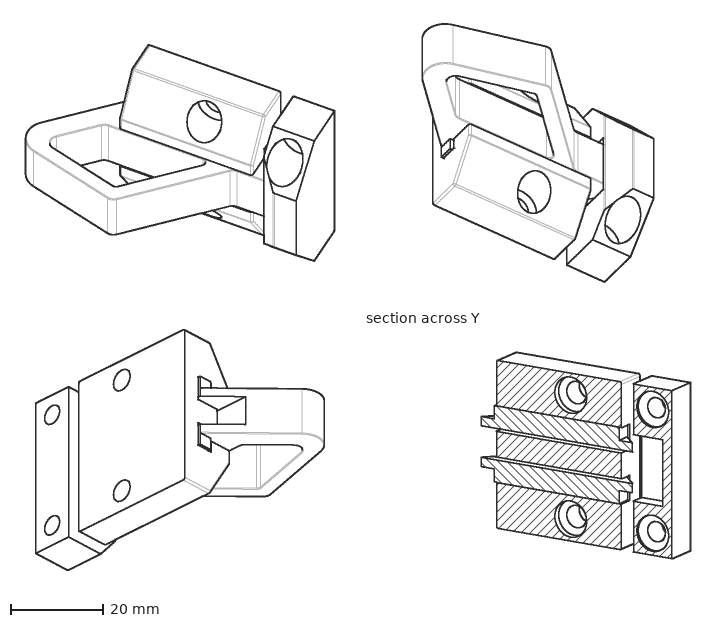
import cadquery as cq
import math


HEIGHT = 38.0
EDGE_RADIUS = 0.5
SCREW_OFFSET = 14.0
SCREW_HEAD_DIAMETER = 8.0
SCREW_CONE_SLOPE = 0.6
SCREW_HEAD_SEAT_KEEPER = 7.0
SCREW_HEAD_SEAT_HOUSING = 6.0

HOUSING_LEFT = 17.6
HOUSING_LENGTH = 32.1
HOUSING_DEPTH = 14.2
HOUSING_SIDE_DEPTH = 8.0
HOUSING_FRONT_HALF = 8.95
HOUSING_SCREW_DIAMETER = 5
HOUSING_SCREW_SHIFT = 3.0

SLOT_FLOOR = 4.15
SLOT_LIP = 8.15
SLOT_MOUTH_HALF = 5.9
WING_HALF = 8.6
WING_FRONT = 7.5
TONGUE_HALF = 2.95
TONGUE_DEPTH = 10.05
GROOVE_HALF = 3.5
GROOVE_DEPTH = 11.15

LATCH_HALF = 5.7
LATCH_OVERHANG = 0.55
LATCH_EDGE_RADIUS = 0.2
HANDLE_ANGLE = math.radians(15)
HANDLE_END_RADIUS = 5
HANDLE_CORNER_RADIUS = 2.0
FINGER_CORNER_RADIUS = 1.0
LEFT_ARM_WIDTH = 5
ARM_WIDTH = 3.5
HANDLE_SPAN = 38.1

KEEPER_LEFT = 52.7
KEEPER_LENGTH = 10.0
KEEPER_DEPTH = 19.05
KEEPER_SIDE_DEPTH = 10.05
KEEPER_FRONT_HALF = WING_HALF
KEEPER_CHAMFER = 4.45
KEEPER_SCREW_DIAMETER = 4.5
POCKET_HALF = 7.45
POCKET_END_GAP = 1.0


def box(left, right, back, front, half_height):
    """Block between two X values and two depths, symmetric about Z = 0."""
    return cq.Workplane("XY").box(
        right - left, front - back, 2 * half_height, centered=(False, False, True)
    ).translate((left, -front, 0))


def sloped_block(left, length, side_depth, depth, front_half):
    """Block with a flat back whose upper and lower flanks slope in to a narrower front."""
    half = HEIGHT / 2
    profile = [
        (0, -half), (-side_depth, -half), (-depth, -front_half),
        (-depth, front_half), (-side_depth, half), (0, half),
    ]
    return cq.Workplane("YZ").polyline(profile).close().extrude(length).translate((left, 0, 0))


def screw_cutter(x, z, diameter, head_seat, depth):
    """Through hole with a head recess that ends in a shallow cone."""
    hole = diameter / 2
    head = SCREW_HEAD_DIAMETER / 2
    cone_bottom = head_seat - SCREW_CONE_SLOPE * (head - hole)
    half_section = [
        (0, 0), (hole, 0), (hole, -cone_bottom),
        (head, -head_seat), (head, -depth), (0, -depth),
    ]
    cutter = cq.Workplane("XY").polyline(half_section).close().revolve(360, (0, 0), (0, 1))
    return cutter.translate((x, 0, z))


def cut_screw_holes(body, x, diameter, head_seat, depth):
    """Cut the upper and the lower screw hole."""
    for side in (-1, 1):
        body = body.cut(screw_cutter(x, side * SCREW_OFFSET, diameter, head_seat, depth))
    return body


def make_housing():
    right = HOUSING_LEFT + HOUSING_LENGTH
    body = sloped_block(
        HOUSING_LEFT, HOUSING_LENGTH, HOUSING_SIDE_DEPTH, HOUSING_DEPTH, HOUSING_FRONT_HALF
    )
    body = body.faces("not >Y").edges("not >Y").fillet(EDGE_RADIUS)
    body = body.cut(box(HOUSING_LEFT, right, SLOT_FLOOR, SLOT_LIP, WING_HALF))
    body = body.cut(box(HOUSING_LEFT, right, SLOT_FLOOR, HOUSING_DEPTH, SLOT_MOUTH_HALF))
    body = body.union(box(HOUSING_LEFT, right, SLOT_FLOOR, TONGUE_DEPTH, TONGUE_HALF))
    screw_x = HOUSING_LEFT + HOUSING_LENGTH / 2 + HOUSING_SCREW_SHIFT
    return cut_screw_holes(
        body, screw_x, HOUSING_SCREW_DIAMETER, SCREW_HEAD_SEAT_HOUSING, HOUSING_DEPTH
    )


LATCH_LEFT = HOUSING_LEFT - LATCH_OVERHANG
LATCH_RIGHT = LATCH_LEFT + HOUSING_LENGTH
LATCH_TIP = LATCH_RIGHT + HOUSING_DEPTH - SLOT_FLOOR
LEFT_FLANK = LATCH_LEFT + SLOT_FLOOR
RIGHT_FLANK = LEFT_FLANK + HANDLE_SPAN
END_DEPTH = LEFT_FLANK + HANDLE_END_RADIUS * (math.sqrt(2) - 1)
BAR_START = (
    END_DEPTH + HANDLE_END_RADIUS / math.cos(HANDLE_ANGLE) - HANDLE_END_RADIUS * math.tan(HANDLE_ANGLE)
)


def front_corner(flank):
    """Point where a 45 degree flank meets the front of the slide."""
    return (flank - HOUSING_DEPTH, -HOUSING_DEPTH)


def bar_corner(flank, bar_start):
    """Point where a 45 degree flank meets an edge of the outer bar."""
    x = (flank - bar_start) / (1 + math.tan(HANDLE_ANGLE))
    return (x, x - flank)


def prism(points):
    """Plate with the given outline and the thickness of the latch."""
    return cq.Workplane("XY").polyline(points).close().extrude(LATCH_HALF, both=True)


def round_corner(body, point, radius):
    """Round the upright edge of a plate that stands at the given point."""
    return body.edges(cq.selectors.NearestToPointSelector((*point, 0))).fillet(radius)


def make_finger_opening():
    left_flank = LEFT_FLANK + LEFT_ARM_WIDTH * math.sqrt(2)
    right_flank = RIGHT_FLANK - ARM_WIDTH * math.sqrt(2)
    bar_start = BAR_START - ARM_WIDTH / math.cos(HANDLE_ANGLE)
    corners = [
        front_corner(left_flank), bar_corner(left_flank, bar_start),
        bar_corner(right_flank, bar_start), front_corner(right_flank),
    ]
    radii = [
        HANDLE_CORNER_RADIUS, HANDLE_CORNER_RADIUS, FINGER_CORNER_RADIUS, FINGER_CORNER_RADIUS,
    ]
    opening = prism(corners)
    for corner, radius in zip(corners, radii):
        opening = round_corner(opening, corner, radius)
    return opening


def make_latch():
    handle_end = bar_corner(LEFT_FLANK, BAR_START)
    handle_corner = bar_corner(RIGHT_FLANK, BAR_START)
    arm_root = front_corner(RIGHT_FLANK)
    body = prism([
        (LATCH_LEFT, -SLOT_FLOOR), handle_end, handle_corner,
        arm_root, (LATCH_TIP, -HOUSING_DEPTH), (LATCH_RIGHT, -SLOT_FLOOR),
    ])
    body = round_corner(body, handle_end, HANDLE_END_RADIUS)
    body = round_corner(body, handle_corner, HANDLE_CORNER_RADIUS)
    body = round_corner(body, arm_root, HANDLE_CORNER_RADIUS)
    body = body.cut(make_finger_opening())
    body = body.faces("<Z or >Z").edges("not >Y").fillet(LATCH_EDGE_RADIUS)
    body = body.union(box(LATCH_LEFT, LATCH_RIGHT, SLOT_FLOOR, WING_FRONT, WING_HALF))
    return body.cut(box(0, LATCH_TIP, SLOT_FLOOR, GROOVE_DEPTH, GROOVE_HALF))


def make_keeper():
    right = KEEPER_LEFT + KEEPER_LENGTH
    body = sloped_block(
        KEEPER_LEFT, KEEPER_LENGTH, KEEPER_SIDE_DEPTH, KEEPER_DEPTH, KEEPER_FRONT_HALF
    )
    chamfer_side = (KEEPER_LEFT, KEEPER_CHAMFER - KEEPER_DEPTH)
    chamfer_front = (KEEPER_LEFT + KEEPER_CHAMFER, -KEEPER_DEPTH)
    plan = (
        cq.Workplane("XY")
        .polyline([
            (KEEPER_LEFT, 0), chamfer_side, chamfer_front, (right, -KEEPER_DEPTH), (right, 0),
        ])
        .close()
        .extrude(HEIGHT / 2, both=True)
    )
    for corner in (chamfer_side, chamfer_front):
        plan = round_corner(plan, corner, EDGE_RADIUS)
    body = body.intersect(plan)
    pocket_end = LATCH_TIP + POCKET_END_GAP
    body = body.cut(box(KEEPER_LEFT, pocket_end, SLOT_FLOOR, HOUSING_DEPTH, POCKET_HALF))
    screw_x = KEEPER_LEFT + KEEPER_LENGTH / 2
    return cut_screw_holes(
        body, screw_x, KEEPER_SCREW_DIAMETER, SCREW_HEAD_SEAT_KEEPER, KEEPER_DEPTH
    )


housing = make_housing()
latch = make_latch()
keeper = make_keeper()

result = cq.Compound.makeCompound([housing.val(), latch.val(), keeper.val()])